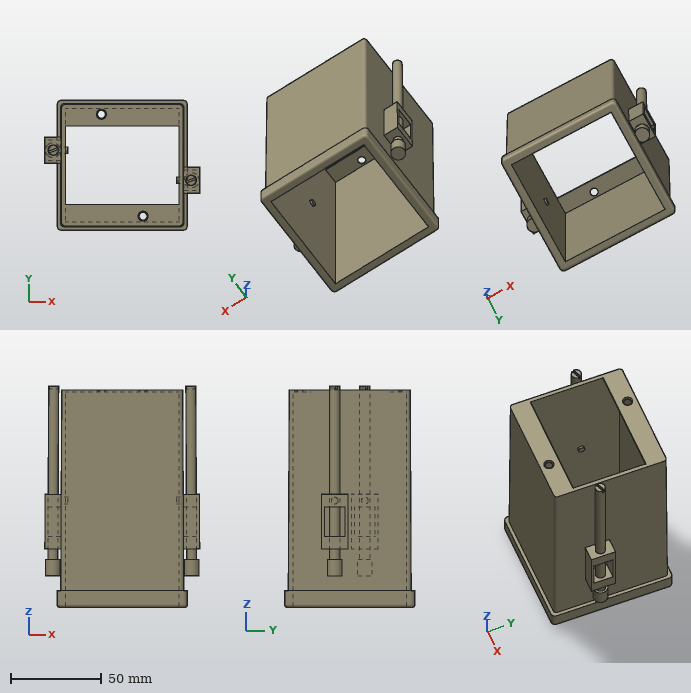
import cadquery as cq
import math

overall_width = 85.8
overall_height = 122.5

bezel_side = 72.0
bezel_height = 9.3
bezel_corner_radius = 2.5
bezel_edge_radius = 1.5
tube_base_side = 68.1
tube_top_z = 120.3
tube_corner_radius = 2.0
draft_angle = 0.28
cavity_side = 62.6
plate_thickness = 1.2
opening_width = 43.4

plate_hole_x = 11.5
plate_hole_y = 28.2
plate_sink_diameter = 5.5
plate_hole_diameter = 4.3

clamp_y = 8.3
clamp_turns = (0, 180)
block_width = 14.5
block_bottom_z = 32.3
block_top_z = 62.6
window_width = 11.4
window_height = 16.3
rod_offset = 4.4
rod_diameter = 5.6
slot_width = 1.1
slot_depth = 1.7
slot_angle = 20.0
foot_diameter = 8.2
foot_bottom_z = 17.5
foot_top_z = 26.6

peg_diameter = 3.8
peg_length = 3.7

lean = math.sin(math.radians(draft_angle))
block_bottom_shift = lean * (block_bottom_z - bezel_height)
block_depth = (overall_width - tube_base_side) / 2 + block_bottom_shift
rod_top_z = overall_height - lean * (rod_offset + rod_diameter / 2)

block_height = block_top_z - block_bottom_z
block_mid_z = (block_bottom_z + block_top_z) / 2
window_top_z = block_mid_z + window_height / 2
peg_z = (window_top_z + block_top_z) / 2


def make_peg():
    """Peg that points inward from the wall face at x = 0."""
    return (
        cq.Workplane("YZ")
        .center(0, peg_z)
        .circle(peg_diameter / 2)
        .extrude(-peg_length)
    )


def make_block():
    """Clamp block with a window along x, a vertical bore for the rod and a peg."""
    block = cq.Workplane("XY").box(block_depth, block_width, block_height)
    window = cq.Workplane("XY").box(block_depth, window_width, window_height)
    block = block.cut(window).translate((block_depth / 2, 0, block_mid_z))
    bore = (
        cq.Workplane("XY", origin=(rod_offset, 0, block_bottom_z))
        .circle(rod_diameter / 2)
        .extrude(block_height)
    )
    return block.cut(bore).union(make_peg())


def make_rod():
    """Clamp rod that stands on the foot, with a screwdriver slot across its top."""
    length = rod_top_z - foot_top_z
    rod = cq.Workplane("XY").circle(rod_diameter / 2).extrude(length)
    slot = (
        cq.Workplane("XY", origin=(0, 0, length - slot_depth))
        .rect(rod_diameter * 2, slot_width)
        .extrude(slot_depth)
    )
    rod = rod.cut(slot).rotate((0, 0, 0), (0, 0, 1), slot_angle)
    return rod.translate((rod_offset, 0, foot_top_z))


def make_foot():
    """Round foot under the rod."""
    return (
        cq.Workplane("XY", origin=(rod_offset, 0, foot_bottom_z))
        .circle(foot_diameter / 2)
        .extrude(foot_top_z - foot_bottom_z)
    )


def place_on_wall(body, turn):
    """Lean a clamp body with the drafted +X wall, then turn it about Z to its own side."""
    pivot = (0, 0, bezel_height)
    leaning = body.rotate(pivot, (0, 1, bezel_height), -draft_angle)
    on_wall = leaning.translate((tube_base_side / 2, -clamp_y, 0))
    return on_wall.rotate((0, 0, 0), (0, 0, 1), turn)


def make_plate_hole():
    """Cutter on the Z axis: a bore through the top plate with a 45 degree countersink."""
    bottom_z = tube_top_z - plate_thickness
    sink_depth = (plate_sink_diameter - plate_hole_diameter) / 2
    bore = (
        cq.Workplane("XY", origin=(0, 0, bottom_z))
        .circle(plate_hole_diameter / 2)
        .extrude(plate_thickness)
    )
    sink = (
        cq.Workplane("XY", origin=(0, 0, tube_top_z - sink_depth))
        .circle(plate_hole_diameter / 2)
        .workplane(offset=sink_depth)
        .circle(plate_sink_diameter / 2)
        .loft()
    )
    return bore.union(sink)


def make_housing():
    bezel = (
        cq.Workplane("XY")
        .rect(bezel_side, bezel_side)
        .extrude(bezel_height)
        .edges("|Z")
        .fillet(bezel_corner_radius)
        .faces("<Z")
        .edges()
        .fillet(bezel_edge_radius)
    )
    tube = (
        cq.Workplane("XY", origin=(0, 0, bezel_height))
        .rect(tube_base_side, tube_base_side)
        .extrude(tube_top_z - bezel_height, taper=draft_angle)
        .edges("not #Z")
        .fillet(tube_corner_radius)
    )
    cavity = (
        cq.Workplane("XY")
        .rect(cavity_side, cavity_side)
        .extrude(tube_top_z - plate_thickness)
    )
    opening = cq.Workplane("XY").rect(cavity_side, opening_width).extrude(tube_top_z)
    housing = bezel.union(tube).cut(cavity).cut(opening)
    for side in (1, -1):
        hole_place = (side * plate_hole_x, -side * plate_hole_y, 0)
        housing = housing.cut(make_plate_hole().translate(hole_place))
    for turn in clamp_turns:
        housing = housing.cut(place_on_wall(make_peg(), turn))
    return housing


housing = make_housing()
blocks = [place_on_wall(make_block(), turn) for turn in clamp_turns]
rods = [place_on_wall(make_rod(), turn) for turn in clamp_turns]
feet = [place_on_wall(make_foot(), turn) for turn in clamp_turns]

clamp_bodies = [solid for body in blocks + rods + feet for solid in body.solids().vals()]
result = cq.Compound.makeCompound([*housing.solids().vals(), *clamp_bodies])